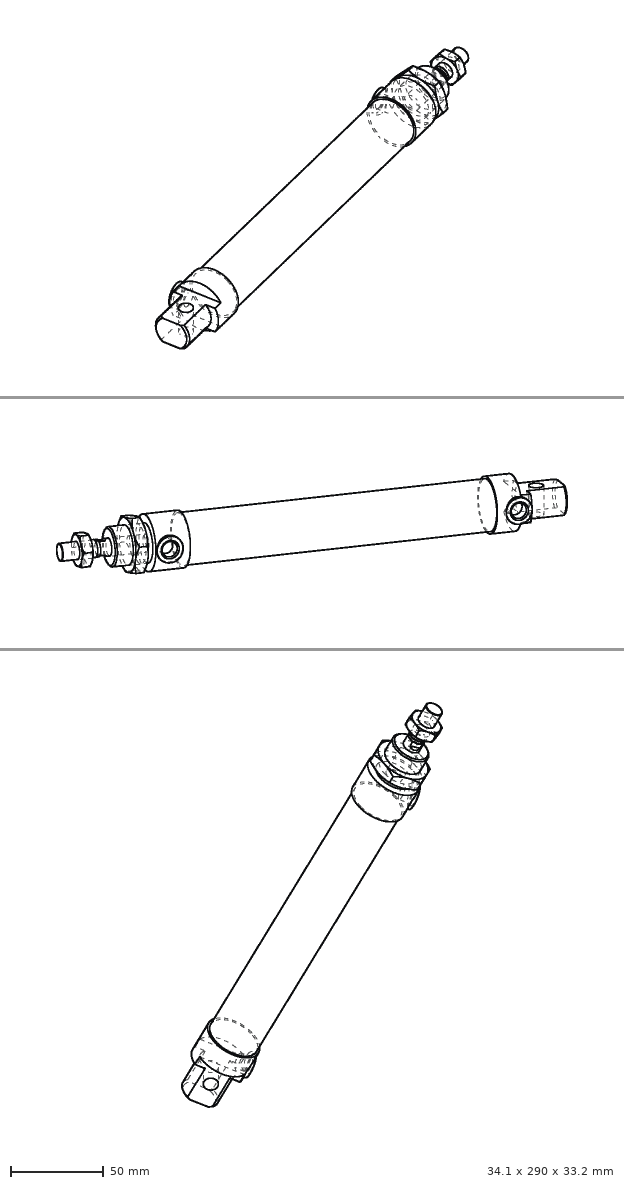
import cadquery as cq
import math

total_length = 290.0

tube_diameter = 29.0
cap_diameter = 31.5
neck_diameter = 22.0
rear_cap_start = 22.5
rear_cap_end = 42.5
front_cap_start = 220.0
front_cap_end = 240.0
neck_end = 261.5
tongue_chamfer = 1.2
neck_chamfer = 1.0

tongue_thickness = 16.2
tongue_shoulder = 28.5
pin_hole_diameter = 8.0
pin_hole_position = 14.5

port_boss_diameter = 15.0
port_face_x = -16.2
port_hole_diameter = 8.7
port_mouth_diameter = 10.5
port_mouth_chamfer = (port_mouth_diameter - port_hole_diameter) / 2
port_depth = 7.5
port_positions = (rear_cap_start + port_boss_diameter / 2, 232.0)

rod_diameter = 10.0
thread_end_chamfer = 0.3
flat_start = 263.3
flat_end = 268.0
flat_spacing = 7.8
flat_ramp_length = 1.5
flat_angle = -10.0
relief_diameter = 9.5
relief_length = 1.7

mount_nut_width = 30.2
mount_nut_start = 244.2
mount_nut_thickness = 7.2
mount_nut_angle = -12.0
rod_nut_width = 17.5
rod_nut_start = 273.8
rod_nut_thickness = 6.5
rod_nut_angle = -7.0


def cylinder_along_y(diameter, start, end):
    """Solid cylinder on the Y axis between two Y positions."""
    plane = cq.Workplane("XZ", origin=(0, start, 0))
    return plane.circle(diameter / 2).extrude(start - end)


def slab_outside_tongue(side):
    """Block that clears the housing above or below the clevis tongue."""
    height = cap_diameter
    center_z = side * (tongue_thickness + height) / 2
    slab = cq.Workplane("XY").box(2 * cap_diameter, tongue_shoulder, height)
    return slab.translate((0, tongue_shoulder / 2, center_z))


def port_cylinder(diameter, position, depth):
    """Cylinder running inward from the port face."""
    plane = cq.Workplane("YZ", origin=(port_face_x, position, 0))
    return plane.circle(diameter / 2).extrude(depth)


def port_cutter(position):
    """Blind port hole with a conical mouth."""
    hole = port_cylinder(port_hole_diameter, position, port_depth)
    mouth = cq.Solid.makeCone(
        port_mouth_diameter / 2, port_hole_diameter / 2, port_mouth_chamfer,
        pnt=cq.Vector(port_face_x, position, 0), dir=cq.Vector(1, 0, 0),
    )
    return hole.union(cq.Workplane(mouth))


def make_housing():
    """Tube, end caps, threaded neck and clevis tongue, with a bore for the rod."""
    tongue = cylinder_along_y(neck_diameter, 0, rear_cap_start).faces("<Y").chamfer(tongue_chamfer)
    neck = cylinder_along_y(neck_diameter, front_cap_end, neck_end).faces(">Y").chamfer(neck_chamfer)
    body = cylinder_along_y(tube_diameter, rear_cap_end, front_cap_start)
    body = body.union(cylinder_along_y(cap_diameter, rear_cap_start, rear_cap_end))
    body = body.union(cylinder_along_y(cap_diameter, front_cap_start, front_cap_end))
    body = body.union(tongue).union(neck)
    for side in (-1, 1):
        body = body.cut(slab_outside_tongue(side))
    for position in port_positions:
        body = body.union(port_cylinder(port_boss_diameter, position, -port_face_x))
        body = body.cut(port_cutter(position))
    pin_hole = cq.Workplane("XY").center(0, pin_hole_position).circle(pin_hole_diameter / 2)
    body = body.cut(pin_hole.extrude(tongue_thickness, both=True))
    return body.cut(cylinder_along_y(rod_diameter, front_cap_end, neck_end))


def flat_cutter(side):
    """Cutter for one wrench flat, whose rear end ramps up to the rod surface."""
    flat_height = side * flat_spacing / 2
    surface_height = side * rod_diameter / 2
    profile = cq.Workplane("YZ").polyline([
        (flat_start, surface_height),
        (flat_start + flat_ramp_length, flat_height),
        (flat_end, flat_height),
        (flat_end, surface_height),
    ]).close()
    cutter = profile.extrude(rod_diameter, both=True)
    return cutter.rotate((0, 0, 0), (0, 1, 0), -flat_angle)


def make_rod():
    """Piston rod with two wrench flats and a relief behind the thread."""
    rod = cylinder_along_y(rod_diameter, front_cap_end, total_length)
    rod = rod.faces(">Y").chamfer(thread_end_chamfer)
    for side in (-1, 1):
        rod = rod.cut(flat_cutter(side))
    relief_end = flat_end + relief_length
    relief = cylinder_along_y(rod_diameter, flat_end, relief_end)
    return rod.cut(relief.cut(cylinder_along_y(relief_diameter, flat_end, relief_end)))


def make_nut(width, start, thickness, angle, bore_diameter):
    """Hexagon nut on the Y axis with both faces' corners chamfered to the inscribed circle."""
    corner_diameter = width / math.cos(math.pi / 6)
    end = start + thickness
    hexagon = cq.Workplane("XZ", origin=(0, start, 0)).polygon(6, corner_diameter).extrude(-thickness)
    corner_depth = (corner_diameter - width) / 2
    chamfer_height = corner_depth * math.tan(math.pi / 6)
    envelope = cylinder_along_y(corner_diameter, start, end)
    envelope = envelope.faces("<Y or >Y").edges().chamfer(chamfer_height, corner_depth)
    nut = hexagon.intersect(envelope).cut(cylinder_along_y(bore_diameter, start, end))
    return nut.rotate((0, 0, 0), (0, 1, 0), -angle)


housing = make_housing()
rod = make_rod()
mount_nut = make_nut(mount_nut_width, mount_nut_start, mount_nut_thickness, mount_nut_angle, neck_diameter)
rod_nut = make_nut(rod_nut_width, rod_nut_start, rod_nut_thickness, rod_nut_angle, rod_diameter)

result = cq.Compound.makeCompound([housing.val(), rod.val(), mount_nut.val(), rod_nut.val()])